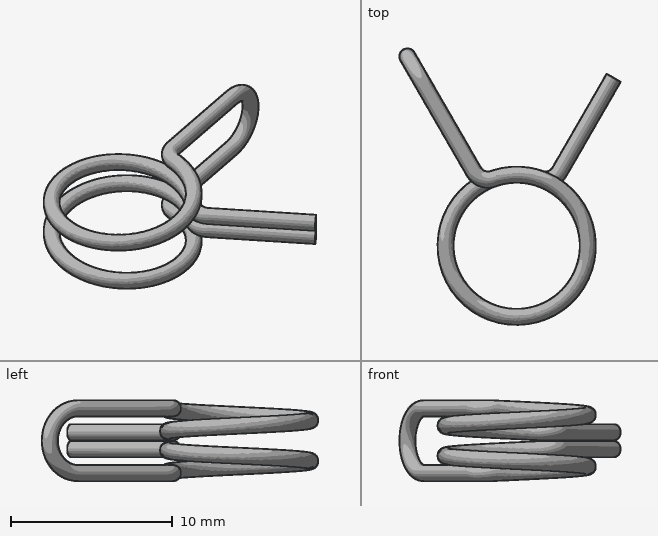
import cadquery as cq
import math

total_length = 17.09
total_height = 5.0
wire_diameter = 1.0
coil_radius = 4.4
bend_radius = 1.0
tail_reach = 11.98
tail_gap = 0.03
arm_tilt = 30.0

wire_radius = wire_diameter / 2
loop_radius = total_height / 2 - wire_radius
loop_z = loop_radius
tail_z = (wire_diameter + tail_gap) / 2
tail_angle = 90.0 - arm_tilt
leg_angle = 90.0 + arm_tilt

tip_y = total_length - coil_radius - wire_diameter
tip_reach = tip_y / math.cos(math.radians(arm_tilt))
leg_reach = tip_reach - loop_radius

bend_centre_radius = coil_radius + bend_radius
bend_angle = math.degrees(math.asin(bend_radius / bend_centre_radius))
bend_reach = bend_centre_radius * math.cos(math.radians(bend_angle))


def polar(radius, angle, z):
    """Point at a radius and an angle (degrees) around the coil axis."""
    turn = math.radians(angle)
    return cq.Vector(radius * math.cos(turn), radius * math.sin(turn), z)


def arm_edges(angle, side, reach, z):
    """Centre line of an arm: a bend out of the coil, then a straight radial length.

    side is +1 when the bend leaves the coil at a larger angle than the arm, else -1.
    """
    coil_angle = angle + side * bend_angle
    coil_point = polar(coil_radius, coil_angle, z)
    coil_tangent = polar(1, coil_angle - side * 90, 0)
    bend_end = polar(bend_reach, angle, z)
    bend = cq.Edge.makeTangentArc(coil_point, coil_tangent, bend_end)
    straight = cq.Edge.makeLine(bend_end, polar(reach, angle, z))
    return [bend, straight]


def coil_edges():
    """Centre line of the coil, rising anticlockwise from the tail bend to the leg bend."""
    start_angle = tail_angle + bend_angle
    end_angle = leg_angle - bend_angle + 360
    turns = (end_angle - start_angle) / 360
    rise = loop_z - tail_z
    helix = cq.Wire.makeHelix(rise / turns, rise, coil_radius)
    helix = helix.rotate(cq.Vector(0, 0, 0), cq.Vector(0, 0, 1), start_angle)
    return helix.translate(cq.Vector(0, 0, tail_z)).Edges()


def loop_edge():
    """Upper quarter circle of the grip loop, in the vertical plane of the legs."""
    top = polar(leg_reach, leg_angle, loop_z)
    tip = polar(tip_reach, leg_angle, 0)
    return cq.Edge.makeTangentArc(top, polar(1, leg_angle, 0), tip)


def upper_wire():
    """Upper half of the clamp: one round wire from the cut tail to the tip of the grip loop."""
    tail = arm_edges(tail_angle, 1, tail_reach, tail_z)
    leg = arm_edges(leg_angle, -1, leg_reach, loop_z)
    path = cq.Wire.assembleEdges(tail[::-1] + coil_edges() + leg + [loop_edge()])
    cut_end = cq.Plane(origin=polar(tail_reach, tail_angle, tail_z), normal=polar(-1, tail_angle, 0))
    section = cq.Workplane(cut_end).circle(wire_radius)
    return section.sweep(cq.Workplane(path), isFrenet=True, transition="transformed")


upper_half = upper_wire()
result = upper_half.union(upper_half.mirror("XY"))